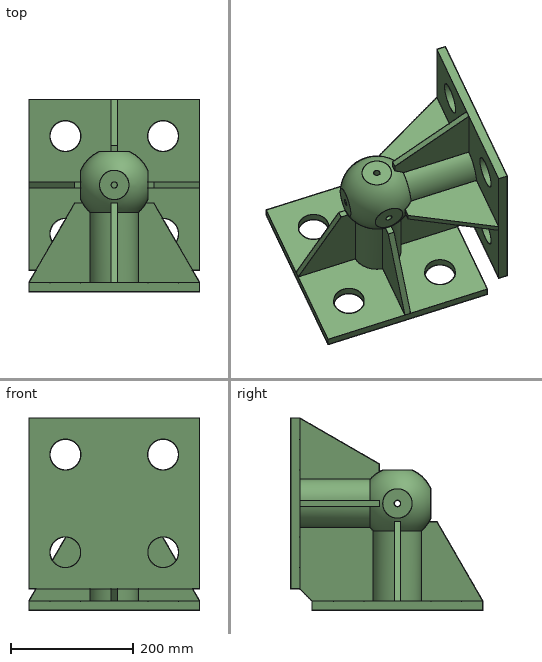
import cadquery as cq

overall = 315.0
plate_side = 280.0
plate_thickness = 15.0
plate_hole_diameter = 50.0
plate_hole_pitch = 160.0
post_diameter = 80.0
ball_diameter = 120.0
ball_width = 110.0
ball_hole_diameter = 10.0
blind_hole_depth = 37.8
rib_thickness = 10.0
rib_height = 130.0
rib_tip_half_width = 65.0

plate_start = overall - plate_side
ball_center = plate_start + plate_side / 2
rib_tip = plate_thickness + rib_height


def swap_legs(solid):
    """Mirror a body across the plane Y = Z, exchanging the two legs."""
    return solid.rotate((0, 0, 0), (1, 0, 0), 90).mirror("XZ")


def make_plate():
    """Square horizontal plate with four holes."""
    return (
        cq.Workplane("XY")
        .center(0, ball_center)
        .rect(plate_side, plate_side)
        .extrude(plate_thickness)
        .faces(">Z")
        .workplane(origin=(0, ball_center, plate_thickness))
        .rect(plate_hole_pitch, plate_hole_pitch, forConstruction=True)
        .vertices()
        .hole(plate_hole_diameter)
    )


def make_post():
    """Round post from the plate to the ball centre."""
    return (
        cq.Workplane("XY", origin=(0, ball_center, plate_thickness))
        .circle(post_diameter / 2)
        .extrude(ball_center - plate_thickness)
    )


def make_side_ribs():
    """Pair of tapered ribs on both X sides of the post, as one web."""
    return (
        cq.Workplane("XZ", origin=(0, ball_center, 0))
        .polyline([
            (-plate_side / 2, plate_thickness),
            (plate_side / 2, plate_thickness),
            (rib_tip_half_width, rib_tip),
            (-rib_tip_half_width, rib_tip),
        ])
        .close()
        .extrude(rib_thickness / 2, both=True)
    )


def make_center_web():
    """Web in the YZ plane that joins both plates, both posts and the ball."""
    tip_far = ball_center + rib_tip_half_width
    return (
        cq.Workplane("YZ")
        .polyline([
            (plate_start, plate_thickness),
            (overall, plate_thickness),
            (tip_far, rib_tip),
            (ball_center, rib_tip),
            (ball_center, ball_center),
            (rib_tip, ball_center),
            (rib_tip, tip_far),
            (plate_thickness, overall),
            (plate_thickness, plate_start),
        ])
        .close()
        .extrude(rib_thickness / 2, both=True)
    )


def make_ball():
    """Sphere flattened along all three axes."""
    sphere = cq.Workplane("XY").sphere(ball_diameter / 2)
    flats = cq.Workplane("XY").box(ball_width, ball_width, ball_width)
    return sphere.intersect(flats).translate((0, ball_center, ball_center))


def make_ball_holes():
    """Through hole along X and blind holes from the top and +Y flats."""
    radius = ball_hole_diameter / 2
    cross_hole = (
        cq.Workplane("YZ", origin=(0, ball_center, ball_center))
        .circle(radius)
        .extrude(ball_width / 2, both=True)
    )
    top_hole = (
        cq.Workplane("XY", origin=(0, ball_center, ball_center + ball_width / 2))
        .circle(radius)
        .extrude(-blind_hole_depth)
    )
    return cross_hole.union(top_hole).union(swap_legs(top_hole))


leg = make_plate().union(make_post()).union(make_side_ribs())
body = leg.union(swap_legs(leg)).union(make_center_web()).union(make_ball())
result = body.cut(make_ball_holes())